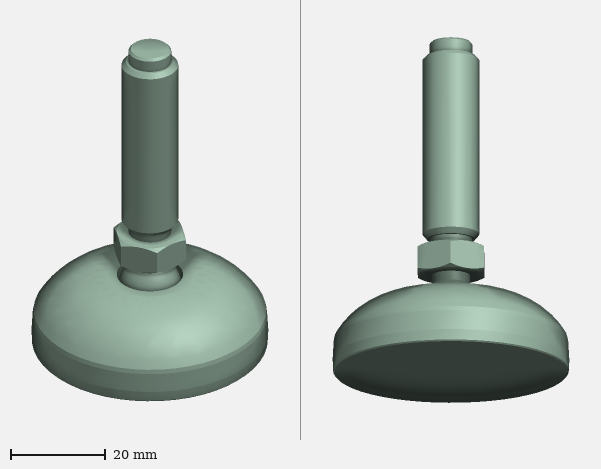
import cadquery as cq
import math

foot_radius = 50.0 / 2
base_radius = 24.9
base_chamfer = 0.3
bulge_z = 2.5
skirt_top_radius = 24.8
skirt_top_z = 6.8
dome_base_radius = 24.55
dome_base_z = 7.7
foot_height = 16.45
crown_radius = 9.1

ball_radius = 13.3 / 2
socket_radius = 14.0 / 2
neck_radius = 8.1 / 2
ball_top_z = 19.1
ball_center_z = ball_top_z - math.sqrt(ball_radius**2 - neck_radius**2)

hex_sides = 6
hex_flats = 14.0
hex_bottom_z = 21.1
hex_top_z = 27.1
hex_corner_radius = hex_flats / math.sqrt(3)
hex_chamfer_radius = hex_flats / 2
hex_chamfer_angle = math.radians(30)

total_height = 72.2
stud_radius = 12.0 / 2
stud_end_radius = 5.05
stud_bottom_z = 29.0
stud_bottom_chamfer = 1.15
tip_length = 3.0
stud_top_z = total_height - tip_length
stud_top_chamfer = stud_radius - stud_end_radius
tip_radius = 9.0 / 2
tip_chamfer = 0.5


def revolve(profile):
    """Turn a closed radius-height profile around the Z axis."""
    return profile.close().revolve(360, (0, 0, 0), (0, 1, 0))


def make_foot():
    dome_run = dome_base_radius - crown_radius
    dome_drop = foot_height - dome_base_z
    arc_radius = (dome_run**2 + dome_drop**2) / (2 * dome_drop)
    half_angle = math.asin(dome_run / arc_radius) / 2
    dome_middle = (
        crown_radius + arc_radius * math.sin(half_angle),
        foot_height - arc_radius * (1 - math.cos(half_angle)),
    )
    profile = (
        cq.Workplane("XZ")
        .lineTo(base_radius - base_chamfer, 0)
        .lineTo(base_radius, base_chamfer)
        .lineTo(foot_radius, bulge_z)
        .lineTo(skirt_top_radius, skirt_top_z)
        .lineTo(dome_base_radius, dome_base_z)
        .threePointArc(dome_middle, (crown_radius, foot_height))
        .lineTo(0, foot_height)
    )
    socket = (
        cq.Workplane("XY", origin=(0, 0, ball_center_z))
        .circle(socket_radius)
        .extrude(foot_height - ball_center_z)
    )
    return revolve(profile).cut(socket)


def make_hexagon():
    height = hex_top_z - hex_bottom_z
    prism = (
        cq.Workplane("XY", origin=(0, 0, hex_bottom_z))
        .polygon(hex_sides, 2 * hex_corner_radius)
        .extrude(height)
        .rotate((0, 0, 0), (0, 0, 1), 180 / hex_sides)
    )
    envelope_radius = 1.1 * hex_corner_radius
    cone_height = (envelope_radius - hex_chamfer_radius) * math.tan(hex_chamfer_angle)
    envelope = revolve(
        cq.Workplane("XZ")
        .moveTo(0, hex_bottom_z)
        .lineTo(hex_chamfer_radius, hex_bottom_z)
        .lineTo(envelope_radius, hex_bottom_z + cone_height)
        .lineTo(envelope_radius, hex_top_z - cone_height)
        .lineTo(hex_chamfer_radius, hex_top_z)
        .lineTo(0, hex_top_z)
    )
    return prism.intersect(envelope)


def make_stud():
    return revolve(
        cq.Workplane("XZ")
        .moveTo(0, ball_center_z)
        .lineTo(neck_radius, ball_center_z)
        .lineTo(neck_radius, hex_bottom_z)
        .lineTo(tip_radius, hex_bottom_z)
        .lineTo(tip_radius, stud_bottom_z)
        .lineTo(stud_end_radius, stud_bottom_z)
        .lineTo(stud_radius, stud_bottom_z + stud_bottom_chamfer)
        .lineTo(stud_radius, stud_top_z - stud_top_chamfer)
        .lineTo(stud_end_radius, stud_top_z)
        .lineTo(tip_radius, stud_top_z)
        .lineTo(tip_radius, total_height - tip_chamfer)
        .lineTo(tip_radius - tip_chamfer, total_height)
        .lineTo(0, total_height)
    )


ball = cq.Workplane("XY").sphere(ball_radius).translate((0, 0, ball_center_z))
result = make_foot().union(ball).union(make_stud()).union(make_hexagon())